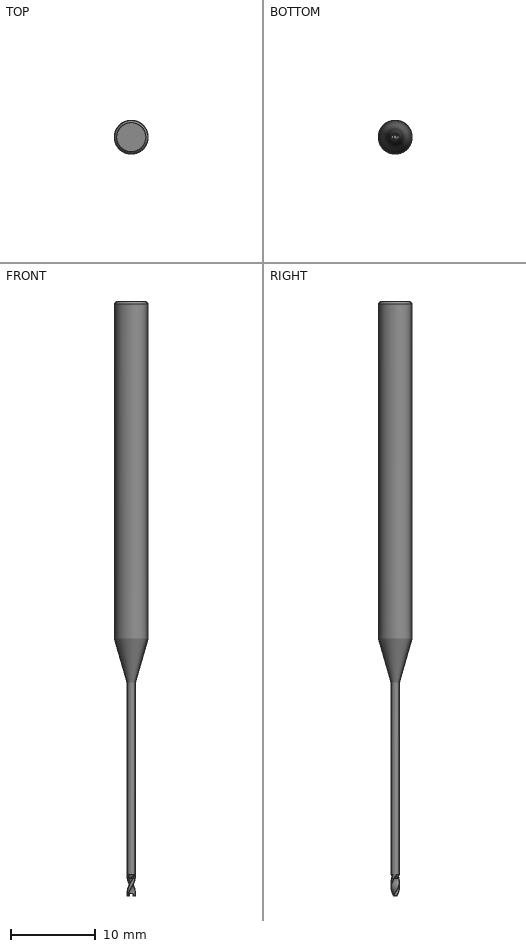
import cadquery as cq
import math

TOOL_LENGTH = 70.0
SHANK_DIAMETER = 4.0
NECK_DIAMETER = 1.0
SHANK_CHAMFER = 0.3
SHANK_BOTTOM = 30.3
NECK_TOP = 25.1

CUTTER_DIAMETER = NECK_DIAMETER
CUTTER_LENGTH = 2.0
HELIX_ANGLE = 30.0
WEB_THICKNESS = 0.4
END_NOTCH_DEPTH = 0.3
END_NOTCH_WIDTH = 0.4
RUNOUT_LENGTH = 0.5

SHANK_RADIUS = SHANK_DIAMETER / 2
NECK_RADIUS = NECK_DIAMETER / 2
CUTTER_RADIUS = CUTTER_DIAMETER / 2
HELIX_LEAD = math.pi * CUTTER_DIAMETER / math.tan(math.radians(HELIX_ANGLE))


def fluted_bar(length, start_angle):
    """Two-lobed bar with right-hand helical flutes, rising from Z = 0."""
    half_web = WEB_THICKNESS / 2
    half_land = math.sqrt(CUTTER_RADIUS**2 - half_web**2)
    profile = (
        cq.Workplane("XY")
        .moveTo(-half_land, -half_web)
        .lineTo(half_land, -half_web)
        .threePointArc((CUTTER_RADIUS, 0), (half_land, half_web))
        .lineTo(-half_land, half_web)
        .threePointArc((-CUTTER_RADIUS, 0), (-half_land, -half_web))
        .close()
    )
    bar = profile.twistExtrude(length, 360 * length / HELIX_LEAD)
    return bar.rotate((0, 0, 0), (0, 0, 1), start_angle)


def make_cutter():
    """Fluted head with a notch between its two end teeth."""
    end_notch = cq.Workplane("XY").box(
        END_NOTCH_WIDTH, CUTTER_DIAMETER, 2 * END_NOTCH_DEPTH
    )
    return fluted_bar(CUTTER_LENGTH, 0).cut(end_notch)


def make_flute_runout():
    """Material left in the neck where the flutes rise out to its surface."""
    core = cq.Workplane("XY").add(
        cq.Solid.makeCone(WEB_THICKNESS / 2, NECK_RADIUS, RUNOUT_LENGTH)
    )
    lobes = fluted_bar(RUNOUT_LENGTH, 360 * CUTTER_LENGTH / HELIX_LEAD)
    return core.union(lobes).translate((0, 0, CUTTER_LENGTH))


def make_shank():
    """Chamfered shank, conical transition and slim neck, turned in one piece."""
    turned = (
        cq.Workplane("XZ")
        .moveTo(0, CUTTER_LENGTH + RUNOUT_LENGTH)
        .lineTo(NECK_RADIUS, CUTTER_LENGTH + RUNOUT_LENGTH)
        .lineTo(NECK_RADIUS, NECK_TOP)
        .lineTo(SHANK_RADIUS, SHANK_BOTTOM)
        .lineTo(SHANK_RADIUS, TOOL_LENGTH - SHANK_CHAMFER)
        .lineTo(SHANK_RADIUS - SHANK_CHAMFER, TOOL_LENGTH)
        .lineTo(0, TOOL_LENGTH)
        .close()
        .revolve(360, (0, 0), (0, 1))
    )
    return turned.union(make_flute_runout())


cutter = make_cutter()
shank = make_shank()

result = cq.Compound.makeCompound([cutter.solids().val(), shank.solids().val()])